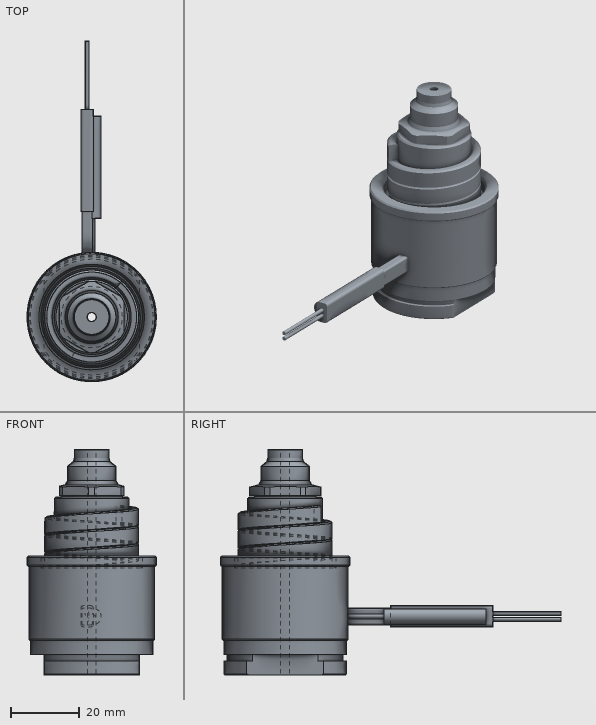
import cadquery as cq
import math

flange_radius = 19.0
body_radius = 18.5
base_radius = 18.0
groove_radius = 17.0
edge_chamfer = 0.4

groove_bottom = 4.2
groove_top = 6.0
body_bottom = 10.2
flange_bottom = 31.9
flange_top = 35.0
flat_offset = 14.0

recess_radius = 14.9
recess_chamfer = 0.6
recess_depth = 3.0
recess_floor = flange_top - recess_depth
seat_thickness = 1.0
seat_chamfer = 0.6

core_radius = 11.0
core_top = 52.3
core_chamfer = 0.5
neck_radius = 9.0
hex_across_flats = 19.0
hex_corner_radius = 10.5
hex_bottom = 52.7
hex_corner_top = 55.2
collar_foot_radius = 7.8
collar_foot = 55.9
collar_radius = 7.1
collar_bottom = 57.1
collar_top = 61.3
tip_foot_radius = 5.4
tip_foot = 62.7
tip_radius = 5.1
tip_bottom = 63.7
tip_top = 66.2
bore_radius = 1.3

coil_outer_radius = 13.8
coil_root_radius = core_radius - 0.5
coil_pitch = 5.2
coil_gap = 0.2
coil_height = coil_pitch - coil_gap
coil_chamfer_width = 0.6
coil_chamfer_drop = 0.4
coil_turns = 3
coil_end_angle = 50.0
coil_end_top = 49.8

cable_x = -1.35
cable_z = 17.2
cable_width = 3.1
cable_height = 5.0
cable_fillet = 0.6
cable_start = body_radius - 2.0
sleeve_width = 3.7
sleeve_height = 6.3
sleeve_z = 17.3
sleeve_fillet = 0.9
sleeve_start = 31.0
sleeve_length = 30.0
wire_radius = 0.6
wire_spacing = 1.7
wire_end = 81.0
tube_x = 0.5
tube_radius = 2.3
tube_start = 29.0
tube_length = 30.0
lead_x = 0.3
lead_radius = 0.7


def cylinder(radius, bottom, top):
    return cq.Workplane("XY").workplane(offset=bottom).circle(radius).extrude(top - bottom)


def make_housing():
    base = cylinder(base_radius, 0, groove_bottom).faces("<Z").chamfer(edge_chamfer)
    base = base.union(cylinder(groove_radius, groove_bottom, groove_top))
    flat_slab = cq.Workplane("XY").box(
        2 * flat_offset, 2 * base_radius, groove_top, centered=(True, True, False)
    )
    base = base.intersect(flat_slab)

    shoulder = cylinder(base_radius, groove_top, body_bottom)
    body = cylinder(body_radius, body_bottom, flange_bottom).faces("<Z").chamfer(edge_chamfer)
    flange = cylinder(flange_radius, flange_bottom, flange_top).faces("<Z or >Z").chamfer(edge_chamfer)
    recess_bottom = recess_floor - seat_thickness
    recess = cylinder(recess_radius, recess_bottom, flange_top)
    seat = cylinder(recess_radius, recess_bottom, recess_floor).faces(">Z").chamfer(seat_chamfer)
    housing = base.union(shoulder).union(body).union(flange).cut(recess)
    recess_rim = cq.selectors.RadiusNthSelector(0)
    housing = housing.faces(">Z").edges(recess_rim).chamfer(recess_chamfer)
    return housing.union(seat)


def make_stem():
    core = cylinder(core_radius, recess_floor, core_top).faces(">Z").chamfer(core_chamfer)
    return core.union(cylinder(neck_radius, core_top, hex_bottom))


def make_nozzle():
    turned = (
        cq.Workplane("XZ")
        .moveTo(0, hex_bottom)
        .lineTo(hex_corner_radius, hex_bottom)
        .lineTo(hex_corner_radius, hex_corner_top)
        .lineTo(collar_foot_radius, collar_foot)
        .lineTo(collar_radius, collar_bottom)
        .lineTo(collar_radius, collar_top)
        .lineTo(tip_foot_radius, tip_foot)
        .lineTo(tip_radius, tip_bottom)
        .lineTo(tip_radius, tip_top)
        .lineTo(0, tip_top)
        .close()
        .revolve(360, (0, 0, 0), (0, 1, 0))
    )
    across_corners = hex_across_flats / math.cos(math.pi / 6)
    hexagon = (
        cq.Workplane("XY")
        .workplane(offset=hex_bottom)
        .transformed(rotate=(0, 0, 90))
        .polygon(6, across_corners)
        .extrude(tip_top - hex_bottom)
    )
    return turned.intersect(hexagon)


def make_coil():
    half_height = coil_height / 2
    start_middle = coil_end_top - half_height - coil_turns * coil_pitch
    path = cq.Wire.makeHelix(coil_pitch, coil_turns * coil_pitch, coil_outer_radius)
    inner_rim = core_radius + coil_chamfer_width
    shoulder_height = half_height - coil_chamfer_drop
    root_drop = (inner_rim - coil_root_radius) * coil_chamfer_drop / coil_chamfer_width
    section = (
        cq.Workplane("XZ")
        .moveTo(coil_root_radius, -half_height)
        .lineTo(coil_outer_radius, -half_height)
        .lineTo(coil_outer_radius, shoulder_height)
        .lineTo(coil_outer_radius - coil_chamfer_width, half_height)
        .lineTo(inner_rim, half_height)
        .lineTo(coil_root_radius, half_height - root_drop)
        .close()
    )
    coil = section.sweep(cq.Workplane(obj=path), isFrenet=True)
    return coil.rotate((0, 0, 0), (0, 0, 1), coil_end_angle).translate((0, 0, start_middle))


def rounded_bar(width, height, fillet, z, start, end):
    bar = cq.Workplane("XY").box(width, end - start, height).edges("|Y").fillet(fillet)
    return bar.translate((cable_x, (start + end) / 2, z))


def round_bar(radius, x, z, start, end):
    bar = cq.Workplane("XZ").circle(radius).extrude(start - end)
    return bar.translate((x, start, z))


def make_cable():
    sleeve_end = sleeve_start + sleeve_length
    cable = rounded_bar(cable_width, cable_height, cable_fillet, cable_z, cable_start, sleeve_end)
    cable = cable.union(
        rounded_bar(sleeve_width, sleeve_height, sleeve_fillet, sleeve_z, sleeve_start, sleeve_end)
    )
    for side in (-1, 1):
        wire_z = cable_z + side * wire_spacing / 2
        cable = cable.union(round_bar(wire_radius, cable_x, wire_z, sleeve_start, wire_end))
    tube_end = tube_start + tube_length
    cable = cable.union(round_bar(tube_radius, tube_x, cable_z, tube_start, tube_end))
    return cable.union(round_bar(lead_radius, lead_x, cable_z, cable_start, tube_end))


bore = cylinder(bore_radius, 0, tip_top)
result = (
    make_housing()
    .union(make_stem())
    .union(make_nozzle())
    .union(make_coil())
    .union(make_cable())
    .cut(bore)
)